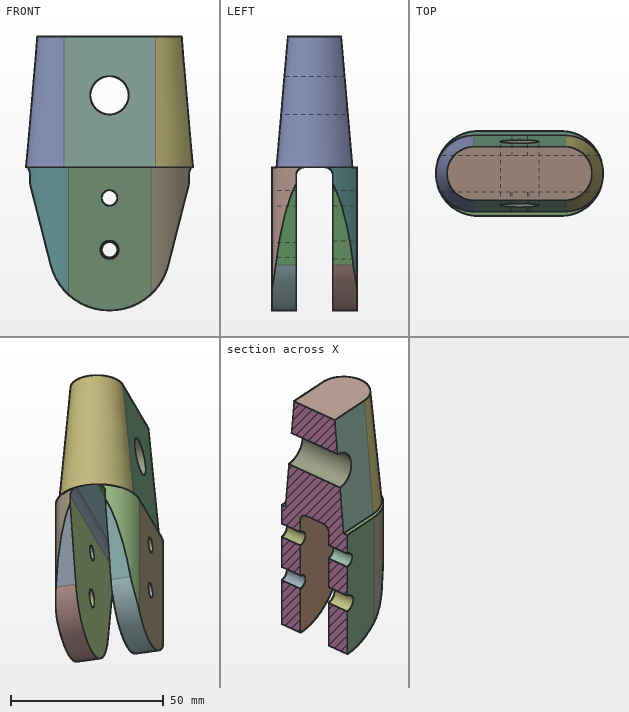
import cadquery as cq
import math

total_height = 90.0
total_length = 55.0
base_width = 28.0
base_height = 47.0

block_bottom_width = 25.0
block_top_width = 17.55
block_straight = total_length - block_bottom_width

tip_radius = 20.0

slot_width = 12.0
slot_corner_radius = 2.5

block_hole_diameter = 12.5
block_hole_z = 70.65
pin_hole_diameter = 5.0
upper_pin_z = 37.0
lower_pin_z = tip_radius
front_pin_hole_diameter = 6.0


def tapered_block():
    """Upper block, narrowing evenly from the fork to the top."""
    return (
        cq.Workplane("XY", origin=(0, 0, base_height))
        .slot2D(block_straight + block_bottom_width, block_bottom_width)
        .workplane(offset=total_height - base_height)
        .slot2D(block_straight + block_top_width, block_top_width)
        .loft(ruled=True)
    )


def fork_outline():
    """Fork silhouette: straight flanks tangent to the round tip, extruded along Y."""
    shoulder_x = total_length / 2
    shoulder_rise = base_height - tip_radius
    shoulder_distance = math.hypot(shoulder_x, shoulder_rise)
    tangent_angle = math.atan2(shoulder_rise, shoulder_x) - math.acos(tip_radius / shoulder_distance)
    tangent_x = tip_radius * math.cos(tangent_angle)
    tangent_z = tip_radius + tip_radius * math.sin(tangent_angle)
    return (
        cq.Workplane("XZ")
        .moveTo(-shoulder_x, base_height)
        .lineTo(-tangent_x, tangent_z)
        .threePointArc((0, 0), (tangent_x, tangent_z))
        .lineTo(shoulder_x, base_height)
        .close()
        .extrude(base_width / 2, both=True)
    )


def fork_slot():
    """Slot through the full length, open at the bottom, with rounded upper corners."""
    return (
        cq.Workplane("XY")
        .box(total_length, slot_width, base_height, centered=(True, True, False))
        .edges("|X and >Z")
        .fillet(slot_corner_radius)
    )


def cross_hole(diameter, z):
    """Cylinder along Y through the full width."""
    return (
        cq.Workplane("XZ", origin=(0, 0, z))
        .circle(diameter / 2)
        .extrude(base_width, both=True)
    )


fork = cq.Workplane("XY").slot2D(total_length, base_width).extrude(base_height)
fork = fork.intersect(fork_outline()).cut(fork_slot())

result = fork.union(tapered_block())

result = result.cut(cross_hole(block_hole_diameter, block_hole_z))
for pin_z in (upper_pin_z, lower_pin_z):
    result = result.cut(cross_hole(pin_hole_diameter, pin_z))

front_pin_hole = (
    cq.Workplane("XZ", origin=(0, 0, lower_pin_z))
    .circle(front_pin_hole_diameter / 2)
    .extrude(base_width / 2)
)
result = result.cut(front_pin_hole)